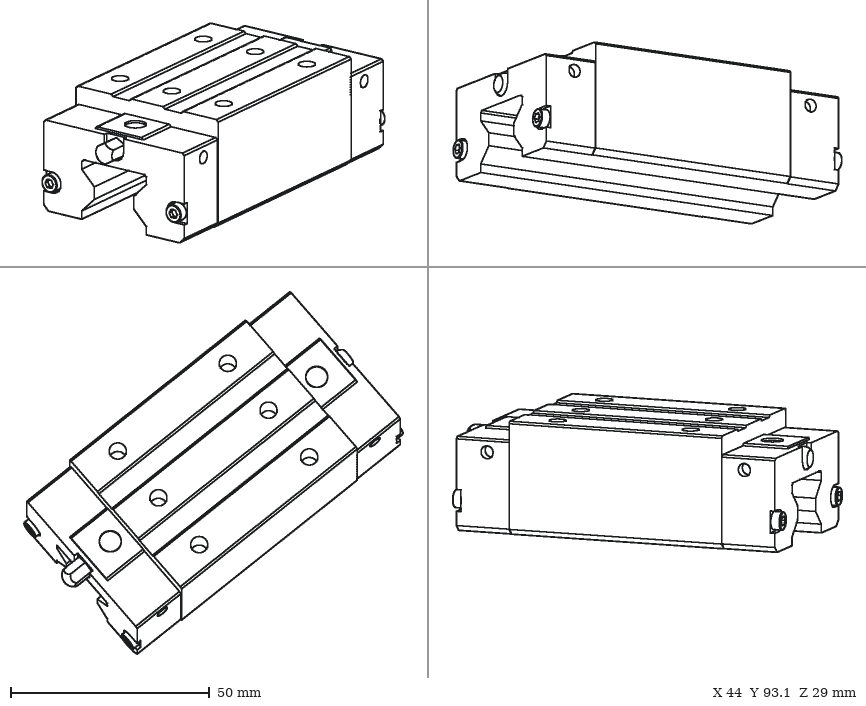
import cadquery as cq
import math


BLOCK_WIDTH = 44.0
BLOCK_HEIGHT = 29.0
BLOCK_LENGTH = 57.5
TOP_CHAMFER = 0.6
BOTTOM_CHAMFER = 1.5

GROOVE_X = 8.0
GROOVE_WIDTH = 6.1
GROOVE_DEPTH = 0.6
HOLE_PITCH_X = 16.0
HOLE_PITCH_Y = 36.0
HOLE_DIAMETER = 4.3
HOLE_DEPTH = 7.45
DRILL_POINT_ANGLE = 118

CAP_SIDE_STEP = 0.3
CAP_HEIGHT = 24.2
CAP_LENGTH = 12.1
SEAL_LENGTH = 2.2
CAP_WIDTH = BLOCK_WIDTH - 2 * CAP_SIDE_STEP
CAP_CENTER_Y = BLOCK_LENGTH / 2 + CAP_LENGTH / 2
SEAL_FACE_Y = BLOCK_LENGTH / 2 + CAP_LENGTH + SEAL_LENGTH

PAD_BASE_WIDTH = 14.9
PAD_HEIGHT = 0.6
PORT_DIAMETER = 5.5
PORT_Y = 33.8
PORT_DEPTH = 0.6
SIDE_PORT_DIAMETER = 3.3
SIDE_PORT_DEPTH = 2.8

CHANNEL_HALF_WIDTH = 10.0
CHANNEL_HALF_THROAT = 6.05
CHANNEL_HEIGHT = 16.0
CHANNEL_CORNER = 0.6
LOWER_SLOPE_START = 2.2
UPPER_SLOPE_END = 13.4
SLOPE_RISE = CHANNEL_HALF_WIDTH - CHANNEL_HALF_THROAT

HEX_SIDES = 6

AXIS_Z = 20.8
SLOT_WIDTH = 6.0
SLOT_DEPTH = 1.1
NIPPLE_TIP_Y = -48.8
NIPPLE_ACROSS_FLATS = 4.9
NIPPLE_TIP_RADIUS = 3.0
PLUG_LENGTH = 2.05

SCREW_X = 19.2
SCREW_Z = 7.9
SCREW_HEAD_DIAMETER = 4.7
SCREW_HEAD_HEIGHT = 2.4
SCREW_HEAD_CHAMFER = 0.2
SCREW_RECESS_DIAMETER = 5.6
SCREW_RECESS_DEPTH = 1.2
SOCKET_ACROSS_CORNERS = 2.5
SOCKET_DEPTH = 1.1


def profile_plane(y):
    """Plane at the given Y with local axes along +X and +Z; extrusion goes toward -Y."""
    return cq.Workplane("XZ", origin=(0, y, 0))


def body(width, height, length):
    """Prism along Y with small top and large bottom edge chamfers."""
    prism = cq.Workplane("XY").box(width, length, height, centered=(True, True, False))
    prism = prism.faces(">Z").edges("|Y").chamfer(TOP_CHAMFER)
    return prism.faces("<Z").edges("|Y").chamfer(BOTTOM_CHAMFER)


def ridge(base_width, top_width, height, length, base_z):
    """Bar along Y with a symmetric trapezoid section, centred on the origin in X and Y."""
    section = [
        (-base_width / 2, base_z),
        (base_width / 2, base_z),
        (top_width / 2, base_z + height),
        (-top_width / 2, base_z + height),
    ]
    return profile_plane(length / 2).polyline(section).close().extrude(length)


def rail_channel():
    half_outline = [
        (CHANNEL_HALF_WIDTH, 0),
        (CHANNEL_HALF_WIDTH, LOWER_SLOPE_START),
        (CHANNEL_HALF_THROAT, LOWER_SLOPE_START + SLOPE_RISE),
        (CHANNEL_HALF_THROAT, UPPER_SLOPE_END - SLOPE_RISE),
        (CHANNEL_HALF_WIDTH, UPPER_SLOPE_END),
        (CHANNEL_HALF_WIDTH, CHANNEL_HEIGHT - CHANNEL_CORNER),
        (CHANNEL_HALF_WIDTH - CHANNEL_CORNER, CHANNEL_HEIGHT),
    ]
    mirrored = [(-x, z) for x, z in reversed(half_outline)]
    outline = profile_plane(SEAL_FACE_Y).polyline(half_outline + mirrored).close()
    return outline.extrude(2 * SEAL_FACE_Y)


def mounting_holes():
    """Two rows of three blind drilled holes with conical bottoms."""
    radius = HOLE_DIAMETER / 2
    point_height = radius / math.tan(math.radians(DRILL_POINT_ANGLE / 2))
    half_section = [(0, 0), (radius, 0), (radius, -HOLE_DEPTH), (0, -HOLE_DEPTH - point_height)]
    hole = cq.Workplane("XZ").polyline(half_section).close().revolve(360, (0, 0), (0, 1))
    holes = cq.Workplane("XY")
    for column in (-1, 0, 1):
        for row in (-0.5, 0.5):
            holes = holes.add(hole.translate((column * HOLE_PITCH_X, row * HOLE_PITCH_Y, BLOCK_HEIGHT)))
    return holes.combine()


def steel_block():
    block = body(BLOCK_WIDTH, BLOCK_HEIGHT, BLOCK_LENGTH)
    floor_width = GROOVE_WIDTH - 2 * GROOVE_DEPTH
    groove = ridge(floor_width, GROOVE_WIDTH, GROOVE_DEPTH, BLOCK_LENGTH, BLOCK_HEIGHT - GROOVE_DEPTH)
    for side in (-1, 1):
        block = block.cut(groove.translate((side * GROOVE_X, 0, 0)))
    return block


def cap_pads():
    pad_top_width = PAD_BASE_WIDTH - 2 * PAD_HEIGHT
    pad = ridge(PAD_BASE_WIDTH, pad_top_width, PAD_HEIGHT, CAP_LENGTH, CAP_HEIGHT)
    return pad.translate((0, -CAP_CENTER_Y, 0)).union(pad.translate((0, CAP_CENTER_Y, 0)))


def cap_ports():
    """Shallow round recesses in the pads and blind holes in both cap sides."""
    ports = (
        cq.Workplane("XY", origin=(0, 0, CAP_HEIGHT + PAD_HEIGHT))
        .pushPoints([(0, -PORT_Y), (0, PORT_Y)])
        .circle(PORT_DIAMETER / 2)
        .extrude(-PORT_DEPTH)
    )
    side_centers = [(-CAP_CENTER_Y, AXIS_Z), (CAP_CENTER_Y, AXIS_Z)]
    for side in (-1, 1):
        side_ports = (
            cq.Workplane("YZ", origin=(side * CAP_WIDTH / 2, 0, 0))
            .pushPoints(side_centers)
            .circle(SIDE_PORT_DIAMETER / 2)
            .extrude(-side * SIDE_PORT_DEPTH)
        )
        ports = ports.union(side_ports)
    return ports


def seal_slot():
    """Round-bottomed slot in the -Y seal face, open at the top."""
    floor = profile_plane(SLOT_DEPTH - SEAL_FACE_Y)
    round_end = floor.center(0, AXIS_Z).circle(SLOT_WIDTH / 2).extrude(SLOT_DEPTH)
    opening_height = CAP_HEIGHT - AXIS_Z
    opening = floor.center(0, AXIS_Z + opening_height / 2).rect(SLOT_WIDTH, opening_height)
    return round_end.union(opening.extrude(SLOT_DEPTH))


def screw_recess():
    """Recess for the +X screw of the -Y seal face, open toward the cap side."""
    floor = profile_plane(SCREW_RECESS_DEPTH - SEAL_FACE_Y)
    round_end = floor.center(SCREW_X, SCREW_Z).circle(SCREW_RECESS_DIAMETER / 2).extrude(SCREW_RECESS_DEPTH)
    opening_width = CAP_WIDTH / 2 - SCREW_X
    opening = floor.center(SCREW_X + opening_width / 2, SCREW_Z).rect(opening_width, SCREW_RECESS_DIAMETER)
    return round_end.union(opening.extrude(SCREW_RECESS_DEPTH))


def screw_head():
    """Hex-socket head of the +X screw of the -Y seal face."""
    head = (
        profile_plane(SCREW_RECESS_DEPTH - SEAL_FACE_Y)
        .center(SCREW_X, SCREW_Z)
        .circle(SCREW_HEAD_DIAMETER / 2)
        .extrude(SCREW_HEAD_HEIGHT)
    )
    head = head.faces("<Y").edges().chamfer(SCREW_HEAD_CHAMFER)
    return head.faces("<Y").workplane().polygon(HEX_SIDES, SOCKET_ACROSS_CORNERS).cutBlind(-SOCKET_DEPTH)


def grease_nipple():
    """Hexagonal nipple on the -Y end with a corner upward and a spherical tip."""
    base_y = SLOT_DEPTH - SEAL_FACE_Y
    half_corner_angle = 180 / HEX_SIDES
    across_corners = NIPPLE_ACROSS_FLATS / math.cos(math.radians(half_corner_angle))
    hexagon = cq.Workplane("XZ").polygon(HEX_SIDES, across_corners).extrude(base_y - NIPPLE_TIP_Y)
    hexagon = hexagon.rotate((0, 0, 0), (0, 1, 0), half_corner_angle).translate((0, base_y, AXIS_Z))
    sphere_y = NIPPLE_TIP_Y + NIPPLE_TIP_RADIUS
    envelope = profile_plane(base_y).center(0, AXIS_Z).circle(NIPPLE_TIP_RADIUS).extrude(base_y - sphere_y)
    tip = cq.Workplane("XY", origin=(0, sphere_y, AXIS_Z)).sphere(NIPPLE_TIP_RADIUS)
    return hexagon.intersect(envelope.union(tip))


def end_plug():
    """Flat-topped spherical plug seated in the slot of the +Y seal face."""
    base_y = SEAL_FACE_Y - SLOT_DEPTH
    radius = SLOT_WIDTH / 2
    dome = cq.Workplane("XY", origin=(0, base_y, AXIS_Z)).sphere(radius)
    height_limit = profile_plane(base_y).center(0, AXIS_Z).circle(radius).extrude(-PLUG_LENGTH)
    return dome.intersect(height_limit)


def at_both_ends(feature):
    return feature.union(feature.mirror("XZ"))


def at_all_corners(feature):
    return at_both_ends(feature.union(feature.mirror("YZ")))


carriage = body(CAP_WIDTH, CAP_HEIGHT, 2 * SEAL_FACE_Y)
carriage = carriage.union(cap_pads()).cut(cap_ports())
carriage = carriage.cut(at_both_ends(seal_slot())).cut(at_all_corners(screw_recess()))
carriage = carriage.union(steel_block()).cut(mounting_holes()).cut(rail_channel())
carriage = carriage.union(at_all_corners(screw_head()))
result = carriage.union(grease_nipple()).union(end_plug())